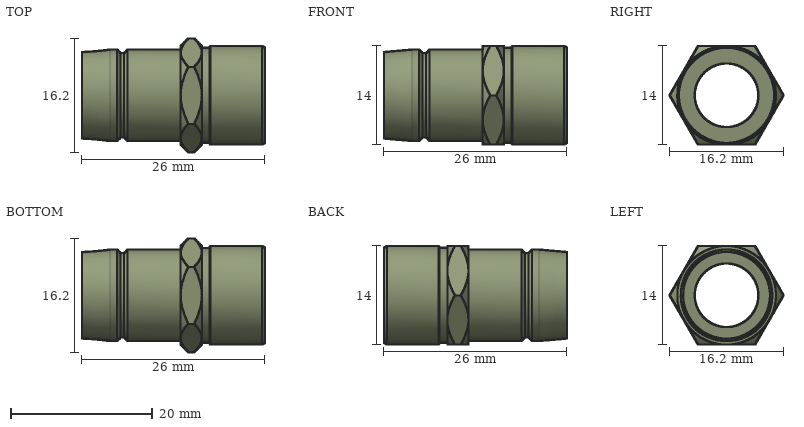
import cadquery as cq
import math

length = 26.0

bore_diameter = 9.0
spigot_diameter = 13.0
groove_diameter = 12.0
hex_sides = 6
hex_across_corners = 16.17
hex_across_flats = hex_across_corners * math.cos(math.pi / hex_sides)
neck_diameter = 13.5
collar_diameter = hex_across_flats

taper_end = 4.0
groove_start = 5.0
groove_end = 6.5
hex_start = 14.01
hex_end = 17.0
collar_start = 18.1

taper_angle = 5.0
groove_depth = (spigot_diameter - groove_diameter) / 2
collar_front_chamfer = 0.15
collar_back_chamfer_length = 0.45
collar_back_chamfer_angle = 30.0


def revolve_about_x(profile):
    """Turn a closed profile, drawn in the XZ plane, a full turn about the X axis."""
    return profile.close().revolve(360, (0, 0, 0), (1, 0, 0))


def make_spigot():
    """Straight tube with a tapered nose and a groove with 45 degree walls."""
    radius = spigot_diameter / 2
    groove_radius = groove_diameter / 2
    nose_radius = radius - taper_end * math.tan(math.radians(taper_angle))
    profile = (
        cq.Workplane("XZ")
        .lineTo(0, nose_radius)
        .lineTo(taper_end, radius)
        .lineTo(groove_start, radius)
        .lineTo(groove_start + groove_depth, groove_radius)
        .lineTo(groove_end - groove_depth, groove_radius)
        .lineTo(groove_end, radius)
        .lineTo(hex_start, radius)
        .lineTo(hex_start, 0)
    )
    return revolve_about_x(profile)


def make_hexagon():
    """Wrench hexagon, flats facing +Z and -Z, corners turned off at 45 degrees on both faces."""
    flat_radius = hex_across_flats / 2
    corner_radius = hex_across_corners / 2
    rise = corner_radius - flat_radius
    prism = (
        cq.Workplane("YZ", origin=(hex_start, 0, 0))
        .polygon(hex_sides, hex_across_corners)
        .extrude(hex_end - hex_start)
    )
    turned_profile = (
        cq.Workplane("XZ")
        .moveTo(hex_start, 0)
        .lineTo(hex_start, flat_radius)
        .lineTo(hex_start + rise, corner_radius)
        .lineTo(hex_end - rise, corner_radius)
        .lineTo(hex_end, flat_radius)
        .lineTo(hex_end, 0)
    )
    return prism.intersect(revolve_about_x(turned_profile))


def make_neck():
    """Short plain neck between the hexagon and the collar."""
    return (
        cq.Workplane("YZ", origin=(hex_end, 0, 0))
        .circle(neck_diameter / 2)
        .extrude(collar_start - hex_end)
    )


def make_collar():
    """Plain collar with a small 45 degree chamfer in front and a shallow chamfer at the back."""
    radius = collar_diameter / 2
    back_chamfer_depth = collar_back_chamfer_length * math.tan(math.radians(collar_back_chamfer_angle))
    profile = (
        cq.Workplane("XZ")
        .moveTo(collar_start, 0)
        .lineTo(collar_start, radius - collar_front_chamfer)
        .lineTo(collar_start + collar_front_chamfer, radius)
        .lineTo(length - collar_back_chamfer_length, radius)
        .lineTo(length, radius - back_chamfer_depth)
        .lineTo(length, 0)
    )
    return revolve_about_x(profile)


bore = cq.Workplane("YZ").circle(bore_diameter / 2).extrude(length)

result = make_spigot().union(make_hexagon()).union(make_neck()).union(make_collar()).cut(bore)